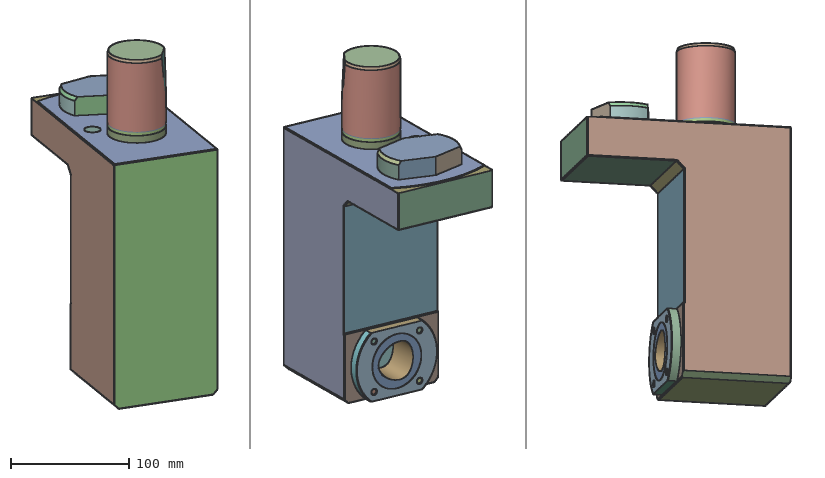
import cadquery as cq
import math


body_length = 178.0
body_width = 96.0
body_top = 222.2
arm_thickness = 35.0
arm_bottom = body_top - arm_thickness
column_x = 83.5
relief_depth = 1.0
relief_bottom = 64.7
arm_gusset = 6.5
edge_chamfer = 1.0
foot_chamfer = 5.0

shank_x = 115.0
shank_top = 297.0
shank_diameter = 50.0
shank_end_height = 2.7
shank_end_inset = 1.0
groove_bottom = 228.7
groove_height = 2.7
groove_lead = 1.0
groove_diameter = 49.5
flat_direction = 60.0
flat_bottom = 255.0
flat_depth = 2.5

step_radius = 113.2
step_depth = edge_chamfer

stud_x = 40.0
stud_height = 17.0
stud_diameter = 72.0
stud_half_width = 25.0
stud_flat_angle = 15.0
stud_chamfer_height = 3.5
stud_chamfer_inset = 1.8

plug_x = 92.7
plug_y = -31.2
plug_diameter = 14.0
seat_depth = 0.3

spindle_z = 32.0
flange_thickness = 8.3
flange_chamfer = 0.5
flange_diameter = 82.0
flange_height = 63.0
flange_x = column_x - flange_thickness
spindle_diameter = 49.5
screw_spacing = 46.0
screw_seat_diameter = 6.0
screw_seat_depth = 0.5
screw_seat_taper = 45.0

socket_width = 35.0
socket_lobe = 0.98
socket_depth = 30.0
socket_floor_width = 33.5
socket_spline_points = 36


def make_body():
    relief_x = column_x + relief_depth
    body = (
        cq.Workplane("XZ")
        .moveTo(0, body_top)
        .lineTo(body_length, body_top)
        .lineTo(body_length, 0)
        .lineTo(column_x, 0)
        .lineTo(column_x, relief_bottom - relief_depth)
        .lineTo(relief_x, relief_bottom)
        .lineTo(relief_x, arm_bottom - arm_gusset)
        .lineTo(relief_x - arm_gusset, arm_bottom)
        .lineTo(0, arm_bottom)
        .close()
        .extrude(body_width / 2, both=True)
    )
    body = body.edges("|Y").edges("<X or >X or <Z").chamfer(edge_chamfer)
    body = body.faces("<Y or >Y").edges().chamfer(edge_chamfer)
    half_width = body_width / 2
    for side in (1, -1):
        corner = (
            cq.Workplane("YZ")
            .moveTo(side * half_width, 0)
            .lineTo(side * half_width, foot_chamfer)
            .lineTo(side * (half_width - foot_chamfer), 0)
            .close()
            .extrude(body_length)
        )
        body = body.cut(corner)
    return body


def make_tip_step():
    floor = cq.Workplane("XY", origin=(shank_x, 0, body_top - step_depth))
    step = floor.rect(2 * shank_x, body_width).extrude(step_depth)
    kept_disc = floor.circle(step_radius).extrude(step_depth)
    return step.cut(kept_disc)


def make_shank():
    radius = shank_diameter / 2
    groove_radius = groove_diameter / 2
    groove_top = groove_bottom + groove_height
    shank = (
        cq.Workplane("XZ")
        .moveTo(0, body_top)
        .lineTo(radius, body_top)
        .lineTo(radius, groove_bottom)
        .lineTo(groove_radius, groove_bottom)
        .lineTo(groove_radius, groove_top)
        .lineTo(radius, groove_top + groove_lead)
        .lineTo(radius, shank_top - shank_end_height)
        .lineTo(radius - shank_end_inset, shank_top)
        .lineTo(0, shank_top)
        .close()
        .revolve(360, (0, 0, 0), (0, 1, 0))
    )
    flat_cut = (
        cq.Workplane("XZ")
        .moveTo(radius, flat_bottom)
        .lineTo(radius - flat_depth, shank_top)
        .lineTo(radius, shank_top)
        .close()
        .extrude(radius, both=True)
        .rotate((0, 0, 0), (0, 0, 1), flat_direction)
    )
    return shank.cut(flat_cut).translate((shank_x, 0, 0))


def make_stud():
    radius = stud_diameter / 2
    round_stud = (
        cq.Workplane("XZ")
        .lineTo(radius, 0)
        .lineTo(radius, stud_height - stud_chamfer_height)
        .lineTo(radius - stud_chamfer_inset, stud_height)
        .lineTo(0, stud_height)
        .close()
        .revolve(360, (0, 0, 0), (0, 1, 0))
    )
    flats_half_length = stud_half_width / math.tan(math.radians(stud_flat_angle))
    flats = (
        cq.Workplane("XY")
        .moveTo(stud_half_width, 0)
        .lineTo(0, flats_half_length)
        .lineTo(-stud_half_width, 0)
        .lineTo(0, -flats_half_length)
        .close()
        .extrude(stud_height)
    )
    return round_stud.intersect(flats).translate((stud_x, 0, body_top))


def make_flange():
    disc = (
        cq.Workplane("YZ", origin=(flange_x, 0, spindle_z))
        .circle(flange_diameter / 2)
        .extrude(flange_thickness)
        .faces("<X")
        .chamfer(flange_chamfer)
    )
    straight_sides = (
        cq.Workplane("YZ", origin=(flange_x, 0, spindle_z))
        .rect(flange_diameter, flange_height)
        .extrude(flange_thickness)
    )
    return disc.intersect(straight_sides)


def socket_outline(width):
    """Points of the three-lobed profile, one per direction of its outward normal; one lobe faces +Y."""
    points = []
    for i in range(socket_spline_points):
        angle = math.pi / 2 + 2 * math.pi * i / socket_spline_points
        reach = width / 2 + socket_lobe * math.cos(3 * angle)
        slope = -3 * socket_lobe * math.sin(3 * angle)
        points.append((
            reach * math.cos(angle) - slope * math.sin(angle),
            reach * math.sin(angle) + slope * math.cos(angle),
        ))
    return points


def make_spindle_cuts():
    face = cq.Workplane("YZ", origin=(flange_x, 0, spindle_z))
    seat = face.circle(spindle_diameter / 2).extrude(seat_depth)
    screws = (
        face.rect(screw_spacing, screw_spacing, forConstruction=True)
        .vertices()
        .circle(screw_seat_diameter / 2)
        .extrude(screw_seat_depth, taper=screw_seat_taper)
    )
    socket = (
        face.spline(socket_outline(socket_width), periodic=True)
        .close()
        .workplane(offset=socket_depth)
        .spline(socket_outline(socket_floor_width), periodic=True)
        .close()
        .loft(ruled=True)
    )
    return seat.union(socket).union(screws)


def make_plug_seat():
    return (
        cq.Workplane("XY", origin=(plug_x, plug_y, body_top - seat_depth))
        .circle(plug_diameter / 2)
        .extrude(seat_depth)
    )


result = (
    make_body()
    .cut(make_tip_step())
    .union(make_shank())
    .union(make_stud())
    .union(make_flange())
    .cut(make_spindle_cuts())
    .cut(make_plug_seat())
)